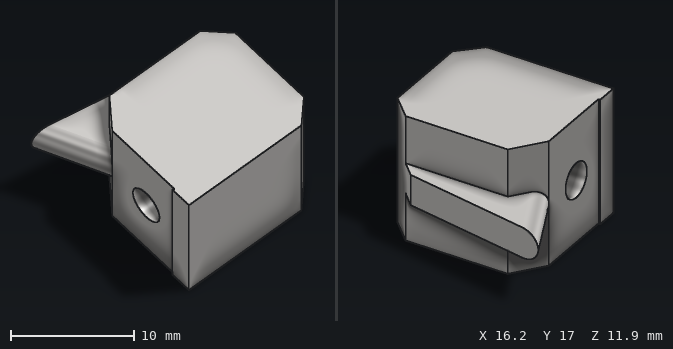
import cadquery as cq
import math

width = 12.52
depth = 13.98
height = 11.9
rear_chamfer = 2.04
front_chamfer_x = 2.84
front_chamfer_y = 2.18

strip_width = rear_chamfer
strip_height = 0.17

hole_diameter = 3.3
hole_x = 7.05

blade_thickness = 2.9
blade_tip = (-3.7, -3.03)
shoulder_x = -1.31


def make_block():
    """Return the block with three chamfered vertical corners."""
    outline = [
        (front_chamfer_x, 0),
        (width, 0),
        (width, depth - rear_chamfer),
        (width - rear_chamfer, depth),
        (rear_chamfer, depth),
        (0, depth - rear_chamfer),
        (0, front_chamfer_y),
    ]
    return cq.Workplane("XY").polyline(outline).close().extrude(height / 2, both=True)


def make_strip():
    """Return the thin full-height strip on the front face."""
    return cq.Workplane("XY").box(strip_width, strip_height, height).translate(
        (width - strip_width / 2, -strip_height / 2, 0)
    )


def make_hole():
    """Return the cutter for the through hole."""
    return cq.Workplane("XZ").center(hole_x, 0).circle(hole_diameter / 2).extrude(-depth)


def make_blade():
    """Return the blade, trimmed from a slab whose round nose runs along its front edge."""
    root = (front_chamfer_x, 0)
    outline = [
        blade_tip,
        root,
        (rear_chamfer, depth),
        (shoulder_x, depth - rear_chamfer + shoulder_x),
    ]
    prism = (
        cq.Workplane("XY").polyline(outline).close().extrude(blade_thickness / 2, both=True)
    )

    run_x = root[0] - blade_tip[0]
    run_y = root[1] - blade_tip[1]
    edge_length = math.hypot(run_x, run_y)
    profile_plane = cq.Plane(
        origin=(blade_tip[0], blade_tip[1], 0),
        xDir=(-run_y, run_x, 0),
        normal=(run_x, run_y, 0),
    )
    radius = blade_thickness / 2
    reach = width + depth
    slab = (
        cq.Workplane(profile_plane)
        .moveTo(reach, -radius)
        .lineTo(radius, -radius)
        .threePointArc((0, 0), (radius, radius))
        .lineTo(reach, radius)
        .close()
        .extrude(edge_length + reach, both=True)
    )
    return prism.intersect(slab)


result = make_block().union(make_strip()).union(make_blade()).cut(make_hole())